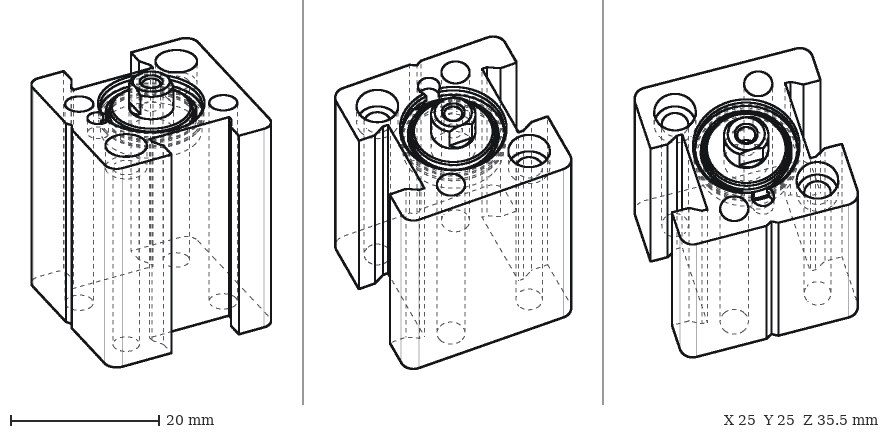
import cadquery as cq
import math

TOTAL_HEIGHT = 35.5
HOUSING_SIDE = 25.0
HOUSING_HEIGHT = 32.0
CORNER_RADIUS = 1.8

SLOT_CENTRE_Y = 1.8
SLOT_MOUTH_WIDTH = 10.2
SLOT_INNER_WIDTH = 12.0
SLOT_DEPTH = 4.72
SLOT_LIP_THICKNESS = 2.4
SLOT_SLOPE_ANGLE = 30.0

V_GROOVE_WIDTH = 1.7
V_GROOVE_ANGLE = 30.0

COUNTERBORED_OFFSET = 7.75
COUNTERBORED_DIAMETER = 3.6
COUNTERBORE_DIAMETER = 5.6
COUNTERBORE_DEPTH = 3.55
PLAIN_HOLE_X = 4.25
PLAIN_HOLE_Y = 8.75
PLAIN_HOLE_DIAMETER = 3.8

SEAT_DIAMETER = 13.7
MOUTH_DIAMETER = 13.85
BORE_CHAMFER_WIDTH = 0.3
BORE_CHAMFER_HEIGHT = 0.4
GROOVE_DIAMETER = SEAT_DIAMETER + 2 * BORE_CHAMFER_WIDTH
RELIEF_DIAMETER = 2.95
RELIEF_CENTRE_Y = -8.02

RING_THICKNESS = 1.0
RING_INNER_DIAMETER = 12.3
RING_DEPTH = 1.35
RING_GAP_HALF_WIDTH = 2.2
RING_GAP_END_ANGLE = 30.0
RING_TOP_Z = HOUSING_HEIGHT - RING_DEPTH
RING_BOTTOM_Z = RING_TOP_Z - RING_THICKNESS

COVER_BOSS_DIAMETER = 11.2
COVER_BOSS_CHAMFER = 0.3
COVER_FOOT_WIDTH = 0.25
COVER_FOOT_HEIGHT = 0.43
COVER_RECESS = 0.6
COVER_FLANGE_THICKNESS = 2.0
COVER_TOP_Z = HOUSING_HEIGHT - COVER_RECESS
COVER_BOTTOM_Z = RING_BOTTOM_Z - COVER_FLANGE_THICKNESS

ROD_DIAMETER = 6.0
ROD_CHAMFER = 0.5
ROD_ACROSS_FLATS = 5.0
ROD_HOLE_DIAMETER = 2.45
ROD_HOLE_CHAMFER = 0.32
ROD_HOLE_DEPTH = 4.0
DRILL_POINT_ANGLE = 118.0


def cylinder(diameter, bottom, top, x=0, y=0):
    """Vertical cylinder between two heights."""
    return cq.Workplane("XY", origin=(x, y, bottom)).circle(diameter / 2).extrude(top - bottom)


def cone(bottom_diameter, top_diameter, bottom, top):
    """Vertical cone frustum on the Z axis."""
    solid = cq.Solid.makeCone(
        bottom_diameter / 2, top_diameter / 2, top - bottom, cq.Vector(0, 0, bottom)
    )
    return cq.Workplane(solid)


def half_turn_pair(cutter):
    """A cutter together with its copy half a turn about Z."""
    return [cutter, cutter.rotate((0, 0, 0), (0, 0, 1), 180)]


def side_slot():
    """Slot on the +X side, narrowed at its mouth by two sloping lips."""
    outer_x = HOUSING_SIDE / 2
    lip_x = outer_x - SLOT_LIP_THICKNESS
    half_mouth = SLOT_MOUTH_WIDTH / 2
    half_inner = SLOT_INNER_WIDTH / 2
    slope_x = lip_x - (half_inner - half_mouth) / math.tan(math.radians(SLOT_SLOPE_ANGLE))
    floor_x = outer_x - SLOT_DEPTH
    upper_half = [
        (outer_x, half_mouth),
        (lip_x, half_mouth),
        (slope_x, half_inner),
        (floor_x, half_inner),
    ]
    lower_half = [(x, -y) for x, y in reversed(upper_half)]
    outline = [(x, y + SLOT_CENTRE_Y) for x, y in upper_half + lower_half]
    return cq.Workplane("XY").polyline(outline).close().extrude(HOUSING_HEIGHT)


def v_groove():
    """Shallow V along the middle of the -Y face."""
    half_width = V_GROOVE_WIDTH / 2
    depth = half_width * math.tan(math.radians(V_GROOVE_ANGLE))
    face_y = -HOUSING_SIDE / 2
    outline = [(-half_width, face_y), (0, face_y + depth), (half_width, face_y)]
    return cq.Workplane("XY").polyline(outline).close().extrude(HOUSING_HEIGHT)


def counterbored_hole():
    """Through hole with a counterbore from the top."""
    x, y = -COUNTERBORED_OFFSET, COUNTERBORED_OFFSET
    hole = cylinder(COUNTERBORED_DIAMETER, 0, HOUSING_HEIGHT, x, y)
    counterbore_floor = HOUSING_HEIGHT - COUNTERBORE_DEPTH
    return hole.union(cylinder(COUNTERBORE_DIAMETER, counterbore_floor, HOUSING_HEIGHT, x, y))


def bore_step(diameter, bottom, top):
    """Stretch of the bore with a conical chamfer at its upper edge."""
    edge_diameter = diameter + 2 * BORE_CHAMFER_WIDTH
    chamfer = cone(diameter, edge_diameter, top - BORE_CHAMFER_HEIGHT, top)
    return cylinder(diameter, bottom, top).union(chamfer)


def bore():
    """Cover seat, ring groove and mouth, from the bottom up."""
    seat = bore_step(SEAT_DIAMETER, COVER_BOTTOM_Z, RING_BOTTOM_Z)
    groove = cylinder(GROOVE_DIAMETER, RING_BOTTOM_Z, RING_TOP_Z)
    mouth = bore_step(MOUTH_DIAMETER, RING_TOP_Z, HOUSING_HEIGHT)
    return seat.union(groove).union(mouth)


def make_housing():
    """Square extruded block with side slots, fixing holes and a recess at the top."""
    housing = (
        cq.Workplane("XY")
        .rect(HOUSING_SIDE, HOUSING_SIDE)
        .extrude(HOUSING_HEIGHT)
        .edges("|Z")
        .fillet(CORNER_RADIUS)
    )
    plain_hole = cylinder(PLAIN_HOLE_DIAMETER, 0, HOUSING_HEIGHT, PLAIN_HOLE_X, PLAIN_HOLE_Y)
    for feature in (side_slot(), counterbored_hole(), plain_hole):
        for cutter in half_turn_pair(feature):
            housing = housing.cut(cutter)
    relief = cylinder(RELIEF_DIAMETER, RING_BOTTOM_Z, HOUSING_HEIGHT, 0, RELIEF_CENTRE_Y)
    return housing.cut(v_groove()).cut(bore()).cut(relief)


def make_cover():
    """Flanged rod cover with a chamfered boss and a hole for the rod."""
    flange = cylinder(SEAT_DIAMETER, COVER_BOTTOM_Z, RING_BOTTOM_Z)
    boss = (
        cylinder(COVER_BOSS_DIAMETER, COVER_BOTTOM_Z, COVER_TOP_Z)
        .faces(">Z")
        .chamfer(COVER_BOSS_CHAMFER)
    )
    foot = cone(
        COVER_BOSS_DIAMETER + 2 * COVER_FOOT_WIDTH,
        COVER_BOSS_DIAMETER,
        RING_BOTTOM_Z,
        RING_BOTTOM_Z + COVER_FOOT_HEIGHT,
    )
    rod_hole = cylinder(ROD_DIAMETER, COVER_BOTTOM_Z, COVER_TOP_Z)
    return flange.union(boss).union(foot).cut(rod_hole)


def make_ring():
    """Retaining ring, open at -Y between two slanted ends."""
    ring = cylinder(GROOVE_DIAMETER, RING_BOTTOM_Z, RING_TOP_Z)
    ring = ring.cut(cylinder(RING_INNER_DIAMETER, RING_BOTTOM_Z, RING_TOP_Z))
    inner_y = -math.sqrt((RING_INNER_DIAMETER / 2) ** 2 - RING_GAP_HALF_WIDTH**2)
    outer_y = -GROOVE_DIAMETER / 2
    end_slope = math.tan(math.radians(RING_GAP_END_ANGLE))
    outer_half_width = RING_GAP_HALF_WIDTH + (inner_y - outer_y) / end_slope
    gap = (
        cq.Workplane("XY", origin=(0, 0, RING_BOTTOM_Z))
        .moveTo(-RING_GAP_HALF_WIDTH, 0)
        .lineTo(-RING_GAP_HALF_WIDTH, inner_y)
        .lineTo(-outer_half_width, outer_y)
        .lineTo(outer_half_width, outer_y)
        .lineTo(RING_GAP_HALF_WIDTH, inner_y)
        .lineTo(RING_GAP_HALF_WIDTH, 0)
        .close()
        .extrude(RING_THICKNESS)
    )
    return ring.cut(gap)


def wrench_flat():
    """Cutter for the +Y flat, which runs out at 45 degrees just below the housing top."""
    flat_y = ROD_ACROSS_FLATS / 2
    rod_radius = ROD_DIAMETER / 2
    runout_z = HOUSING_HEIGHT - (rod_radius - flat_y)
    profile = [
        (flat_y, TOTAL_HEIGHT),
        (flat_y, HOUSING_HEIGHT),
        (rod_radius, runout_z),
        (rod_radius, TOTAL_HEIGHT),
    ]
    return cq.Workplane("YZ").polyline(profile).close().extrude(rod_radius, both=True)


def make_rod():
    """Rod with a chamfered tip, two wrench flats and a drilled end hole."""
    rod = cylinder(ROD_DIAMETER, COVER_BOTTOM_Z, TOTAL_HEIGHT).faces(">Z").chamfer(ROD_CHAMFER)
    rod = rod.cut(wrench_flat()).cut(wrench_flat().mirror("XZ"))
    hole_floor = TOTAL_HEIGHT - ROD_HOLE_DEPTH
    point_height = ROD_HOLE_DIAMETER / 2 / math.tan(math.radians(DRILL_POINT_ANGLE / 2))
    hole = cylinder(ROD_HOLE_DIAMETER, hole_floor, TOTAL_HEIGHT)
    point = cone(0, ROD_HOLE_DIAMETER, hole_floor - point_height, hole_floor)
    mouth = cone(
        ROD_HOLE_DIAMETER,
        ROD_HOLE_DIAMETER + 2 * ROD_HOLE_CHAMFER,
        TOTAL_HEIGHT - ROD_HOLE_CHAMFER,
        TOTAL_HEIGHT,
    )
    return rod.cut(hole).cut(point).cut(mouth)


housing = make_housing()
cover = make_cover()
ring = make_ring()
rod = make_rod()

result = cq.Compound.makeCompound([housing.val(), cover.val(), ring.val(), rod.val()])